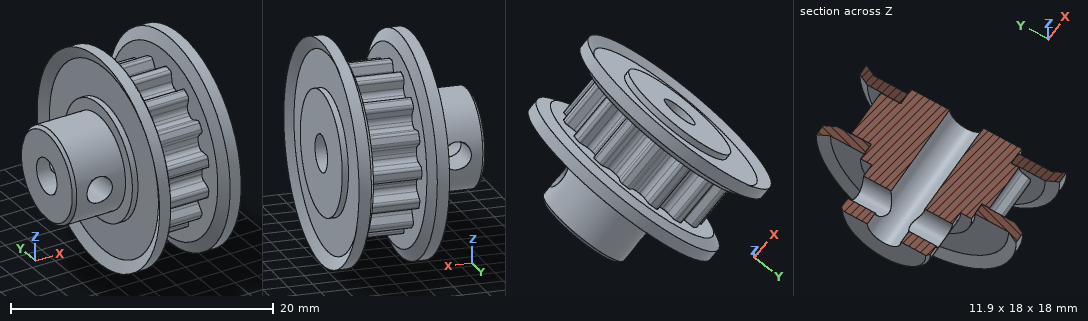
import cadquery as cq
import math


hub_length = 4.6
belt_width = 4.3
flange_sheet = 1.0
flange_dish = 0.5
flange_width = flange_sheet + flange_dish

teeth_start = hub_length + flange_width
teeth_end = teeth_start + belt_width
total_length = teeth_end + flange_width

hub_diameter = 8.0
hub_chamfer = 0.25
bore_diameter = 3.0
cross_hole_diameter = 2.26
cross_hole_x = hub_length / 2

shoulder_diameter = 10.0
flange_radius = 9.0
flange_floor_radius = 8.0

tooth_count = 15
tooth_pitch_angle = 360 / tooth_count
tip_radius = 6.78
root_radius = 5.66
root_half_width = 0.465
flank_angle = 25.0
root_fillet = 0.5
tip_fillet = 0.27
tip_edge_tolerance = 0.01


def x_cylinder(diameter, x_start, x_end):
    """Cylinder about the X axis between two X places."""
    return cq.Workplane("YZ", origin=(x_start, 0, 0)).circle(diameter / 2).extrude(x_end - x_start)


def tooth_gap():
    """Trapezoidal prism for one tooth gap, centred on the -Y side and running past the tips."""
    outer_radius = tip_radius + tip_fillet
    flank_run = (outer_radius - root_radius) * math.tan(math.radians(flank_angle))
    outer_half_width = root_half_width + flank_run
    return (
        cq.Workplane("YZ", origin=(teeth_start, 0, 0))
        .moveTo(-root_radius, -root_half_width)
        .lineTo(-root_radius, root_half_width)
        .lineTo(-outer_radius, outer_half_width)
        .lineTo(-outer_radius, -outer_half_width)
        .close()
        .extrude(belt_width)
    )


def axis_distance(edge):
    """Distance of an edge's centre from the X axis."""
    centre = edge.Center()
    return math.hypot(centre.y, centre.z)


def make_toothed_ring():
    """Toothed section with rounded tooth roots and tips."""
    ring = x_cylinder(2 * tip_radius, teeth_start, teeth_end)
    gap = tooth_gap()
    for index in range(tooth_count):
        ring = ring.cut(gap.rotate((0, 0, 0), (1, 0, 0), index * tooth_pitch_angle))

    mid_radius = (tip_radius + root_radius) / 2
    tip_edge_radius = tip_radius - tip_edge_tolerance
    root_edges = [edge for edge in ring.edges("|X").vals() if axis_distance(edge) < mid_radius]
    ring = ring.newObject(root_edges).fillet(root_fillet)
    tip_edges = [edge for edge in ring.edges("|X").vals() if axis_distance(edge) > tip_edge_radius]
    return ring.newObject(tip_edges).fillet(tip_fillet)


def make_pulley_body():
    """Hub, flange shoulders and teeth in one solid, with the bore and the cross hole."""
    hub = x_cylinder(hub_diameter, 0, teeth_start).faces("<X").chamfer(hub_chamfer)
    shoulders = x_cylinder(shoulder_diameter, hub_length, total_length)
    body = hub.union(shoulders).union(make_toothed_ring())
    bore = x_cylinder(bore_diameter, 0, total_length)
    cross_hole = (
        cq.Workplane("XZ", origin=(cross_hole_x, 0, 0))
        .circle(cross_hole_diameter / 2)
        .extrude(hub_diameter, both=True)
    )
    return body.cut(bore).cut(cross_hole)


def make_flange(rim_x, inward):
    """Dished flange with its rim edge at rim_x; inward is the X direction (1 or -1) toward the teeth."""
    shoulder_radius = shoulder_diameter / 2
    dish_x = rim_x + inward * flange_dish
    sheet_x = rim_x + inward * flange_sheet
    inner_x = rim_x + inward * flange_width
    return (
        cq.Workplane("XY")
        .moveTo(dish_x, shoulder_radius)
        .lineTo(dish_x, flange_floor_radius)
        .lineTo(rim_x, flange_radius)
        .lineTo(sheet_x, flange_radius)
        .lineTo(inner_x, flange_floor_radius)
        .lineTo(inner_x, shoulder_radius)
        .close()
        .revolve(360, (0, 0, 0), (1, 0, 0))
    )


pulley_body = make_pulley_body()
flanges = [make_flange(rim_x, inward) for rim_x, inward in ((hub_length, 1), (total_length, -1))]

result = cq.Compound.makeCompound([pulley_body.val(), *[flange.val() for flange in flanges]])